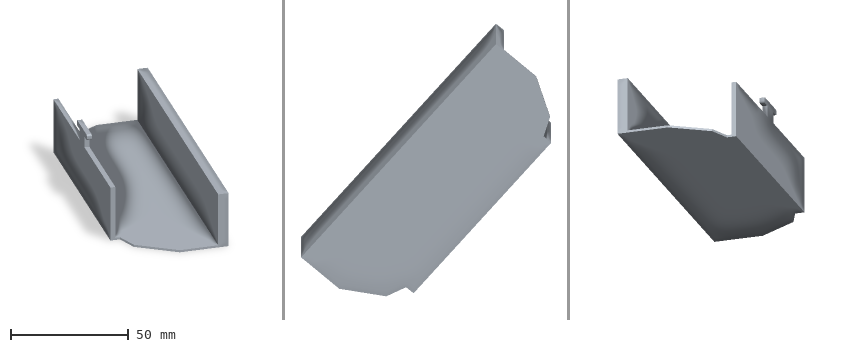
import cadquery as cq

back_wall_length = 127.3
back_wall_thickness = 4.6
front_wall_length = 89.7
front_wall_thickness = 2.2
channel_width = 40.1
wall_height = 25.0
floor_thickness = 1.0

side_edge_lean = 0.22
left_side_corner_y = 24.2
right_side_corner_y = 25.3
lower_corner_x = 53.45
lower_corner_y = 7.9
neck_y = 4.2

stem_width = 8.0
stem_height = 5.0
head_width = 15.8
head_thickness = 2.54
head_corner_radius = 0.8

depth = front_wall_thickness + channel_width + back_wall_thickness
back_wall_front_y = depth - back_wall_thickness
wall_left_x = -back_wall_length / 2
wall_right_x = back_wall_length / 2
front_left_x = -front_wall_length / 2
front_right_x = front_wall_length / 2


def block(x_min, x_max, y_min, y_max, z_min, z_max):
    """Axis-aligned box between the given limits."""
    box = cq.Workplane("XY").box(x_max - x_min, y_max - y_min, z_max - z_min, centered=False)
    return box.translate((x_min, y_min, z_min))


def make_floor():
    """Thin plate joining the walls, tapering in two steps to the front wall."""
    outline = [
        (front_left_x, 0),
        (front_right_x, 0),
        (front_right_x, neck_y),
        (lower_corner_x, lower_corner_y),
        (wall_right_x + side_edge_lean, right_side_corner_y),
        (wall_right_x, back_wall_front_y),
        (wall_left_x, back_wall_front_y),
        (wall_left_x + side_edge_lean, left_side_corner_y),
        (-lower_corner_x, lower_corner_y),
        (front_left_x, neck_y),
    ]
    return cq.Workplane("XY").polyline(outline).close().extrude(floor_thickness)


def make_back_wall():
    return block(wall_left_x, wall_right_x, back_wall_front_y, depth, 0, wall_height)


def make_front_wall():
    return block(front_left_x, front_right_x, 0, front_wall_thickness, 0, wall_height)


def make_hook():
    """Stem with a wider head whose four end corners are rounded."""
    stem_top = wall_height + stem_height
    head_top = stem_top + head_thickness
    stem = block(-stem_width / 2, stem_width / 2, 0, front_wall_thickness, wall_height, stem_top)
    head = block(-head_width / 2, head_width / 2, 0, front_wall_thickness, stem_top, head_top)
    return stem.union(head.edges("|Y").fillet(head_corner_radius))


result = make_floor().union(make_back_wall()).union(make_front_wall()).union(make_hook())